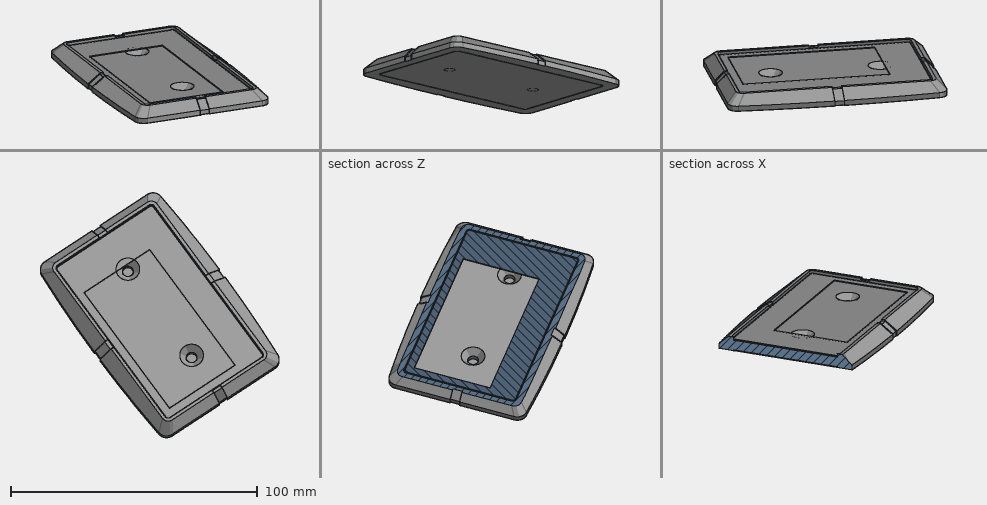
import cadquery as cq
import math

length = 90.49
width = 61.91
height = 6.12
side_bow = 1.85
foot_corner_radius = 4.0
wall_height = 2.2

top_length = 82.65
top_width = 50.9
top_corner_radius = 2.8
rim_width = 1.4

groove_width = 4.0
groove_wall_depth = 0.45
groove_wall_drop = 0.3
groove_rim_depth = 0.6
groove_rim_outset = 0.3

panel_recess = 1.0
panel_thickness = 0.4
panel_clearance = 0.3
window_length = 60.6
window_width = 32.4
window_center_x = 5.9
window_center_y = -4.2

screw_spacing = 45.2
screw_hole_diameter = 4.4
countersink_diameter = 9.6
countersink_angle = 90

sheet_thickness = 0.3

pocket_floor = height - panel_recess - panel_thickness
pocket_length = top_length - 2 * rim_width
pocket_width = top_width - 2 * rim_width
pocket_corner_radius = top_corner_radius - rim_width


def rounded_plate(plate_length, plate_width, corner_radius, bottom, thickness):
    """Flat rectangular plate with rounded corners, centred on the Z axis."""
    return (
        cq.Workplane("XY", origin=(0, 0, bottom))
        .rect(plate_length, plate_width)
        .extrude(thickness)
        .edges("|Z")
        .fillet(corner_radius)
    )


def bowed_prism(half_length, half_width, wall_top):
    """Vertical-walled block with bowed long sides and rounded corners."""
    corner_y = half_width - side_bow
    return (
        cq.Workplane("XY")
        .moveTo(-half_length, -corner_y)
        .threePointArc((0, -half_width), (half_length, -corner_y))
        .lineTo(half_length, corner_y)
        .threePointArc((0, half_width), (-half_length, corner_y))
        .close()
        .extrude(wall_top)
        .edges("|Z")
        .fillet(foot_corner_radius)
    )


def beveled_block(inset, wall_top, total_height, rim_outset):
    """Bowed block with a ruled bevel up to a smaller rounded rectangle."""
    base = bowed_prism(length / 2 - inset, width / 2 - inset, wall_top)
    rim_plate = rounded_plate(
        top_length, top_width + 2 * rim_outset, top_corner_radius, total_height, rim_width
    )
    bevel_foot = base.faces(">Z").wires().val()
    bevel_top = rim_plate.faces("<Z").wires().val()
    bevel = cq.Solid.makeLoft([bevel_foot, bevel_top], ruled=True)
    return base.union(cq.Workplane(obj=bevel))


def screw_hole(x):
    """Countersunk hole, as a solid of revolution about its vertical axis at x."""
    hole_radius = screw_hole_diameter / 2
    sink_radius = countersink_diameter / 2
    sink_depth = (sink_radius - hole_radius) / math.tan(math.radians(countersink_angle / 2))
    return (
        cq.Workplane("XZ", origin=(x, 0, 0))
        .moveTo(0, 0)
        .lineTo(hole_radius, 0)
        .lineTo(hole_radius, pocket_floor - sink_depth)
        .lineTo(sink_radius, pocket_floor)
        .lineTo(0, pocket_floor)
        .close()
        .revolve(360, (0, 0, 0), (0, 1, 0))
    )


def make_housing():
    body = beveled_block(0, wall_height, height, 0)

    groove_core = beveled_block(
        groove_wall_depth,
        wall_height - groove_wall_drop,
        height - groove_rim_depth,
        groove_rim_outset,
    )
    bands = (
        cq.Workplane("XY")
        .box(2 * length, groove_width, 2 * height)
        .union(cq.Workplane("XY").box(groove_width, 2 * width, 2 * height))
    )
    body = body.cut(bands.cut(groove_core))

    body = body.cut(
        rounded_plate(pocket_length, pocket_width, pocket_corner_radius, pocket_floor, height)
    )
    body = body.cut(make_sheet())

    for x in (-screw_spacing / 2, screw_spacing / 2):
        body = body.cut(screw_hole(x))
    return body


def make_panel():
    """Cover panel with a rectangular window."""
    plate = rounded_plate(
        pocket_length - 2 * panel_clearance,
        pocket_width - 2 * panel_clearance,
        pocket_corner_radius - panel_clearance,
        pocket_floor,
        panel_thickness,
    )
    window = (
        cq.Workplane("XY", origin=(window_center_x, window_center_y, pocket_floor))
        .rect(window_length, window_width)
        .extrude(panel_thickness)
    )
    return plate.cut(window)


def make_sheet():
    """Backing sheet flush with the underside."""
    return rounded_plate(pocket_length, pocket_width, pocket_corner_radius, 0, sheet_thickness)


housing = make_housing()
panel = make_panel()
sheet = make_sheet()

result = cq.Compound.makeCompound([housing.val(), panel.val(), sheet.val()])